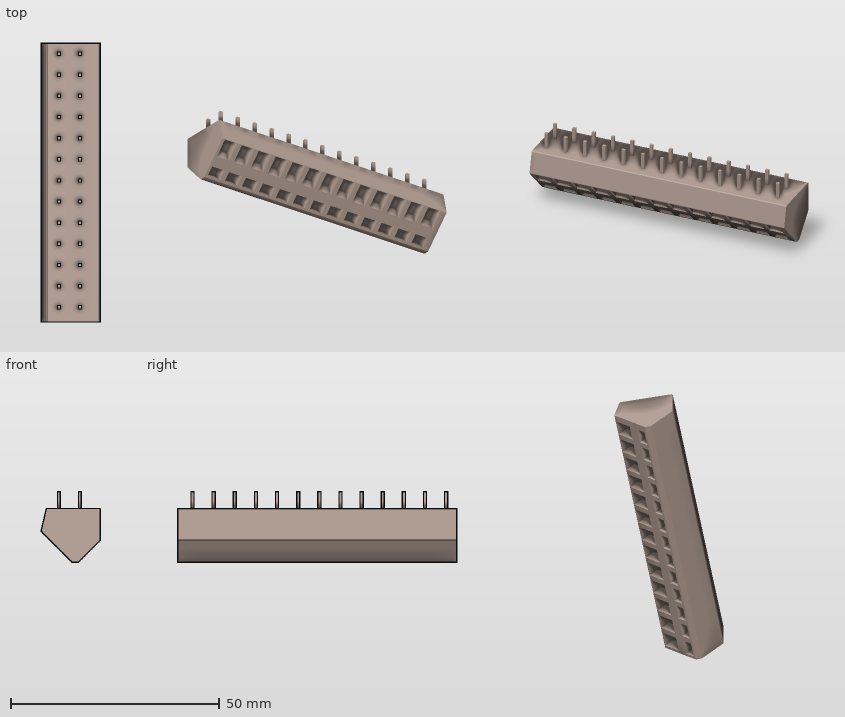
import cadquery as cq
import math

LENGTH = 67.05
WIDTH = 14.3
BODY_HEIGHT = 13.0
LEFT_CORNER_X = -0.035
LEFT_CORNER_HEIGHT = 7.5
RIGHT_CORNER_HEIGHT = 5.35
TOP_LEFT_X = 1.3
CORNER_RADIUS = 0.35
nose_left_x = LEFT_CORNER_X + LEFT_CORNER_HEIGHT
nose_right_x = WIDTH - RIGHT_CORNER_HEIGHT
side_slope = (TOP_LEFT_X - LEFT_CORNER_X) / (BODY_HEIGHT - LEFT_CORNER_HEIGHT)

POLE_COUNT = 13
POLE_SPAN = 60.95
END_MARGIN = 2.55
pole_pitch = POLE_SPAN / (POLE_COUNT - 1)
pole_positions = [LENGTH - END_MARGIN - i * pole_pitch for i in range(POLE_COUNT)]

PIN_ROWS = (4.3, 9.3)
PIN_WIDTH = 0.75
PIN_LENGTH = 0.8
PIN_HEIGHT = 4.0

OPENING_LENGTH = 3.7
OPENING_DEPTH = 2.7
LOWER_OPENING_BOTTOM = 0.4
LOWER_OPENING_TOP = 2.2
UPPER_OPENING_BOTTOM = 4.0
UPPER_OPENING_TOP = 7.4
CUT_CLEARANCE = 0.7

STEP_START_DEPTH = 0.55
STEP_RISE = 2.1


def lower_face_point(height, depth):
    """X and Z of a point set in by depth from the left lower face at the given height."""
    inset = depth * math.sqrt(0.5)
    return nose_left_x - height + inset, height + inset


def make_body():
    profile = [
        (nose_left_x, 0),
        (nose_right_x, 0),
        (WIDTH, RIGHT_CORNER_HEIGHT),
        (WIDTH, BODY_HEIGHT),
        (TOP_LEFT_X, BODY_HEIGHT),
        (LEFT_CORNER_X, LEFT_CORNER_HEIGHT),
    ]
    body = cq.Workplane("XZ").polyline(profile).close().extrude(-LENGTH)
    return body.edges("|Y").fillet(CORNER_RADIUS)


def make_pins():
    centers = [(x, y) for x in PIN_ROWS for y in pole_positions]
    top_plane = cq.Workplane("XY", origin=(0, 0, BODY_HEIGHT))
    return top_plane.pushPoints(centers).rect(PIN_WIDTH, PIN_LENGTH).extrude(PIN_HEIGHT)


def extrude_opening(profile):
    """Cutter centred on Y = 0."""
    return cq.Workplane("XZ").polyline(profile).close().extrude(OPENING_LENGTH / 2, both=True)


def make_lower_opening():
    return extrude_opening([
        lower_face_point(LOWER_OPENING_BOTTOM, -CUT_CLEARANCE),
        lower_face_point(LOWER_OPENING_BOTTOM, OPENING_DEPTH),
        lower_face_point(LOWER_OPENING_TOP, OPENING_DEPTH),
        lower_face_point(LOWER_OPENING_TOP, -CUT_CLEARANCE),
    ])


def make_upper_opening():
    step_x, step_z = lower_face_point(UPPER_OPENING_BOTTOM, STEP_START_DEPTH)
    step_run = STEP_RISE * side_slope
    step_end = (step_x + step_run, step_z + STEP_RISE)
    depth_left = OPENING_DEPTH - STEP_START_DEPTH - (STEP_RISE + step_run) * math.sqrt(0.5)
    floor_inset = depth_left * math.sqrt(0.5)
    return extrude_opening([
        lower_face_point(UPPER_OPENING_BOTTOM, -CUT_CLEARANCE),
        (step_x, step_z),
        step_end,
        (step_end[0] + floor_inset, step_end[1] + floor_inset),
        lower_face_point(UPPER_OPENING_TOP, OPENING_DEPTH),
        lower_face_point(UPPER_OPENING_TOP, -CUT_CLEARANCE),
    ])


result = make_body().union(make_pins())
pole_openings = make_lower_opening().add(make_upper_opening()).combine()
for y in pole_positions:
    result = result.cut(pole_openings.translate((0, y, 0)))